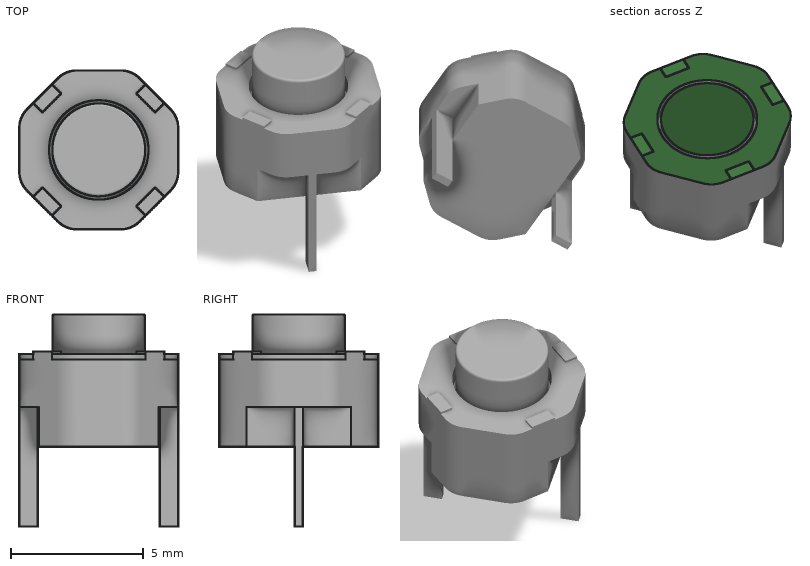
import cadquery as cq
import math


width = 6.0
corner_radius = 1.0

housing_bottom = 3.0
cover_bottom = 6.3
cover_thickness = 0.2
total_height = 8.0

tab_count = 4
tab_width = 1.0
tab_depth = 0.5
tab_rise = 0.1
tab_height = cover_thickness + tab_rise

button_diameter = 3.5
button_edge_radius = 0.1
well_diameter = 3.75
well_depth = 0.5
well_floor = cover_bottom - well_depth

pin_top = 4.5
pin_width = 0.7
pin_thickness = 0.3
notch_depth = 0.74
notch_height = pin_top - housing_bottom


def octagon_prism(bottom, height):
    """Octagonal prism with rounded vertical edges and flats facing X and Y."""
    circumscribed_diameter = width / math.cos(math.pi / 8)
    return (
        cq.Workplane("XY", origin=(0, 0, bottom))
        .transformed(rotate=(0, 0, 22.5))
        .polygon(8, circumscribed_diameter)
        .extrude(height)
        .edges("|Z")
        .fillet(corner_radius)
    )


def box_inside_side(depth, span, bottom, height):
    """Box centred on Y whose outer face lies on the flat facing +X."""
    return cq.Workplane("XY", origin=(width / 2 - depth / 2, 0, bottom)).box(
        depth, span, height, centered=(True, True, False)
    )


def turned(shape, angle):
    """Copy of a shape turned about the vertical axis."""
    return shape.rotate((0, 0, 0), (0, 0, 1), angle)


def make_tabs():
    tab = box_inside_side(tab_depth, tab_width, cover_bottom, tab_height)
    step = 360 / tab_count
    return [turned(tab, step * (index + 0.5)) for index in range(tab_count)]


def make_housing():
    housing = octagon_prism(housing_bottom, cover_bottom - housing_bottom)
    for tab in make_tabs():
        housing = housing.union(tab)
    notch = box_inside_side(notch_depth, width, housing_bottom, notch_height)
    for angle in (0, 180):
        housing = housing.cut(turned(notch, angle))
    well = cq.Workplane("XY", origin=(0, 0, well_floor)).circle(well_diameter / 2).extrude(well_depth)
    return housing.cut(well)


def make_cover():
    cover = octagon_prism(cover_bottom, cover_thickness)
    cover = cover.faces(">Z").workplane().hole(well_diameter)
    for tab in make_tabs():
        cover = cover.cut(tab)
    return cover


def make_button():
    return (
        cq.Workplane("XY", origin=(0, 0, well_floor))
        .circle(button_diameter / 2)
        .extrude(total_height - well_floor)
        .faces(">Z")
        .edges()
        .fillet(button_edge_radius)
    )


def make_pin(angle):
    """Flat pin that touches the notch ceiling, flush with the side of the housing."""
    return turned(box_inside_side(pin_width, pin_thickness, 0, pin_top), angle)


housing = make_housing()
cover = make_cover()
button = make_button()
pins = [make_pin(angle).val() for angle in (0, 180)]

result = cq.Compound.makeCompound([housing.val(), cover.val(), button.val(), *pins])